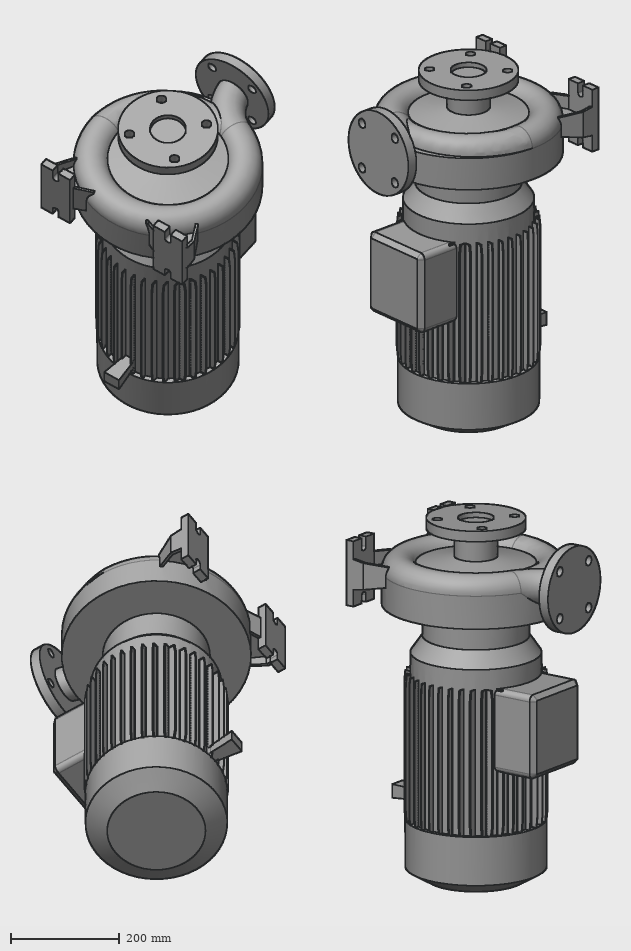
import cadquery as cq
import math

CAP_TAPER_TOP = 23.5
FIN_BOTTOM = 117.0
FIN_TOP = 398.0
ADAPTER_CONE_BOTTOM = 436.5
ADAPTER_CONE_TOP = 468.5
VOLUTE_BOTTOM = 530.0
VOLUTE_MID = 594.0
HUB_TOP = 621.0
TOTAL_HEIGHT = 695.0

CAP_END_RADIUS = 91.0
CAP_RADIUS = 131.5
MOTOR_RADIUS = 121.5
NECK_RADIUS = 99.5

FIN_COUNT = 40
FIN_RADIUS = 133.5
FIN_THICKNESS = 2.0
FIN_ROOT_RADIUS = 115.0
FIN_TIP_BEVEL_LENGTH = 21.0

TUBE_RADIUS = 33.5
VOLUTE_RADIUS = 175.0
TUBE_PATH_RADIUS = VOLUTE_RADIUS - TUBE_RADIUS
TUBE_INNER_RADIUS = TUBE_PATH_RADIUS - TUBE_RADIUS
HUB_RADIUS = 112.0
HUB_RIM = VOLUTE_MID + math.sqrt(TUBE_RADIUS**2 - (TUBE_PATH_RADIUS - HUB_RADIUS) ** 2)
TONGUE_HALF_WIDTH = 23.5
TONGUE_HALF_HEIGHT = 28.0
TAPER_SECTIONS = 6

FLANGE_THICKNESS = 20.0
FLANGE_HOLE_DIAMETER = 18.0
FLANGE_HOLE_COUNT = 4
FLANGE_HOLE_START_ANGLE = 45
SUCTION_FLANGE_RADIUS = 92.5
SUCTION_HOLE_CIRCLE_RADIUS = 72.0
SUCTION_PIPE_RADIUS = 40.0
SUCTION_BORE_RADIUS = 33.5
SUCTION_BORE_DEPTH = 10.0
DISCHARGE_FACE = 225.0
DISCHARGE_FLANGE_RADIUS = 83.0
DISCHARGE_HOLE_CIRCLE_RADIUS = 64.0

OUTLET_ANGLE = 2 * math.degrees(math.atan(TUBE_PATH_RADIUS / DISCHARGE_FACE))
OUTLET_BEND_RADIUS = DISCHARGE_FACE / math.sin(math.radians(OUTLET_ANGLE)) - TUBE_PATH_RADIUS

BOX_WIDTH = 147.0
BOX_BOTTOM = 237.0
BOX_BACK = 186.0
BOX_CORNER_RADIUS = 11.0
BOX_CHAMFER = 10.0

BASE_Y = -180.0
FOOT_INNER_X = 94.5
FOOT_OUTER_X = 160.0
FOOT_BOTTOM = 532.5
FOOT_TOP = 658.0
FOOT_THICKNESS = 16.0
FOOT_FRONT = BASE_Y + FOOT_THICKNESS
SLOT_WIDTH = 13.0
TOP_SLOT_DEPTH = 25.0
BOTTOM_SLOT_DEPTH = 21.0
RIB_THICKNESS = 5.5
RIB_BEND_Y = -141.0
RIB_END_Y = -99.5
OUTER_RIB_END_X = 139.0
INNER_RIB_END = (59.0, -149.5)
RIB_HALF_HEIGHT_AT_FOOT = 29.0
RIB_HALF_HEIGHT_AT_END = 19.5

LUG_WIDTH = 33.5
LUG_HEIGHT = 26.5
LUG_MID_Z = 141.0
LUG_ROOT_WIDTH = 21.0
LUG_ROOT_HEIGHT = 19.5
LUG_EMBED = 3.5


def revolved_body():
    """Motor, adapter, volute drum, conical hub and suction pipe as one turned body."""
    profile = [
        (0, 0),
        (CAP_END_RADIUS, 0),
        (CAP_RADIUS, CAP_TAPER_TOP),
        (CAP_RADIUS, FIN_BOTTOM),
        (MOTOR_RADIUS, FIN_BOTTOM),
        (MOTOR_RADIUS, ADAPTER_CONE_BOTTOM),
        (NECK_RADIUS, ADAPTER_CONE_TOP),
        (NECK_RADIUS, VOLUTE_BOTTOM),
        (VOLUTE_RADIUS, VOLUTE_BOTTOM),
        (VOLUTE_RADIUS, VOLUTE_MID),
        (HUB_RADIUS, VOLUTE_MID),
        (HUB_RADIUS, HUB_RIM),
        (SUCTION_PIPE_RADIUS, HUB_TOP),
        (SUCTION_PIPE_RADIUS, TOTAL_HEIGHT),
        (0, TOTAL_HEIGHT),
    ]
    return cq.Workplane("XZ").polyline(profile).close().revolve(360, (0, 0), (0, 1))


def flange(radius, hole_circle_radius):
    """Drilled flange disc rising from the XY plane."""
    disc = cq.Workplane("XY").circle(radius).extrude(FLANGE_THICKNESS)
    return (
        disc.faces(">Z").workplane()
        .polarArray(hole_circle_radius, FLANGE_HOLE_START_ANGLE, 360, FLANGE_HOLE_COUNT)
        .hole(FLANGE_HOLE_DIAMETER)
    )


def cooling_fins():
    """Thin fins, parallel to X or Y within each quarter of the motor."""
    profile = [
        (FIN_ROOT_RADIUS, FIN_BOTTOM),
        (CAP_RADIUS, FIN_BOTTOM),
        (FIN_RADIUS, FIN_BOTTOM + FIN_TIP_BEVEL_LENGTH),
        (FIN_RADIUS, FIN_TOP - FIN_TIP_BEVEL_LENGTH),
        (CAP_RADIUS, FIN_TOP),
        (FIN_ROOT_RADIUS, FIN_TOP),
    ]
    envelope = cq.Workplane("XZ").polyline(profile).close().revolve(360, (0, 0), (0, 1))
    pitch_angle = 360 / FIN_COUNT
    fins_per_quarter = FIN_COUNT // 4
    plates = cq.Workplane("XY")
    for quarter in range(4):
        for index in range(fins_per_quarter):
            angle = math.radians((index - (fins_per_quarter - 1) / 2) * pitch_angle)
            offset = FIN_RADIUS * math.sin(angle)
            inner = FIN_ROOT_RADIUS * math.cos(angle)
            plate = (
                cq.Workplane("XY", origin=(0, 0, FIN_BOTTOM))
                .center((inner + FIN_RADIUS) / 2, offset)
                .rect(FIN_RADIUS - inner, FIN_THICKNESS)
                .extrude(FIN_TOP - FIN_BOTTOM)
                .rotate((0, 0, 0), (0, 0, 1), 90 * quarter)
            )
            plates = plates.add(plate)
    return plates.combine().intersect(envelope)


def volute_tube():
    """Constant tube from the -X side round to the outlet."""
    return (
        cq.Workplane("XZ")
        .moveTo(TUBE_PATH_RADIUS, VOLUTE_MID)
        .circle(TUBE_RADIUS)
        .revolve(180 + OUTLET_ANGLE, (0, 0), (0, 1))
        .rotate((0, 0, 0), (0, 0, 1), 180)
    )


def volute_tongue():
    """Tube that shrinks from the -X side to the outlet, keeping its inner side at one radius."""
    sections = []
    for step in range(TAPER_SECTIONS):
        fraction = step / (TAPER_SECTIONS - 1)
        turn = math.radians(180 + fraction * (OUTLET_ANGLE - 180))
        half_width = TUBE_RADIUS + fraction * (TONGUE_HALF_WIDTH - TUBE_RADIUS)
        half_height = TUBE_RADIUS + fraction * (TONGUE_HALF_HEIGHT - TUBE_RADIUS)
        path_radius = TUBE_INNER_RADIUS + half_width
        outline = cq.Edge.makeEllipse(
            half_height,
            half_width,
            cq.Vector(path_radius * math.cos(turn), path_radius * math.sin(turn), VOLUTE_MID),
            cq.Vector(math.sin(turn), -math.cos(turn), 0),
            cq.Vector(0, 0, -1),
        )
        sections.append(cq.Wire.assembleEdges([outline]))
    return cq.Workplane(cq.Solid.makeLoft(sections))


def suction_flange():
    """Drilled flange on top of the suction pipe."""
    disc = flange(SUCTION_FLANGE_RADIUS, SUCTION_HOLE_CIRCLE_RADIUS)
    return disc.translate((0, 0, TOTAL_HEIGHT - FLANGE_THICKNESS))


def suction_bore():
    """Shallow round recess in the suction face."""
    floor = TOTAL_HEIGHT - SUCTION_BORE_DEPTH
    return cq.Workplane("XY", origin=(0, 0, floor)).circle(SUCTION_BORE_RADIUS).extrude(SUCTION_BORE_DEPTH)


def discharge_outlet():
    """Bend from the volute tube to the discharge flange."""
    bend = (
        cq.Workplane("XZ", origin=(0, DISCHARGE_FACE, VOLUTE_MID))
        .circle(TUBE_RADIUS)
        .revolve(OUTLET_ANGLE, (OUTLET_BEND_RADIUS, 0), (OUTLET_BEND_RADIUS, 1))
    )
    disc = (
        flange(DISCHARGE_FLANGE_RADIUS, DISCHARGE_HOLE_CIRCLE_RADIUS)
        .rotate((0, 0, 0), (1, 0, 0), -90)
        .translate((0, DISCHARGE_FACE - FLANGE_THICKNESS, VOLUTE_MID))
    )
    return bend.union(disc)


def terminal_box():
    """Box on the +Y side of the motor with rounded sides and a chamfered back."""
    return (
        cq.Workplane("XY", origin=(0, 0, BOX_BOTTOM))
        .center(0, BOX_BACK / 2)
        .rect(BOX_WIDTH, BOX_BACK)
        .extrude(FIN_TOP - BOX_BOTTOM)
        .edges("|Y").fillet(BOX_CORNER_RADIUS)
        .faces(">Y").chamfer(BOX_CHAMFER)
    )


def foot_plate():
    """Slotted mounting plate on the +X side."""
    width = FOOT_OUTER_X - FOOT_INNER_X
    middle = (FOOT_OUTER_X + FOOT_INNER_X) / 2
    height = FOOT_TOP - FOOT_BOTTOM
    plate = cq.Workplane("XY").box(width, FOOT_THICKNESS, height, centered=(True, False, False))
    plate = plate.translate((middle, BASE_Y, FOOT_BOTTOM))
    for edge, depth in ((FOOT_TOP, TOP_SLOT_DEPTH), (FOOT_BOTTOM, BOTTOM_SLOT_DEPTH)):
        slot = (
            cq.Workplane("XZ", origin=(middle, FOOT_FRONT, edge))
            .slot2D(2 * depth, SLOT_WIDTH, 90)
            .extrude(FOOT_THICKNESS)
        )
        plate = plate.cut(slot)
    return plate


def foot_bracket():
    """Two ribs joined by a web at mid height, losing height toward the volute."""
    outer_rib = [
        (FOOT_OUTER_X, FOOT_FRONT),
        (FOOT_OUTER_X, RIB_BEND_Y),
        (OUTER_RIB_END_X, RIB_END_Y),
        (OUTER_RIB_END_X - RIB_THICKNESS, RIB_END_Y),
        (FOOT_OUTER_X - RIB_THICKNESS, RIB_BEND_Y),
        (FOOT_OUTER_X - RIB_THICKNESS, FOOT_FRONT),
    ]
    inner_rib = [
        (FOOT_INNER_X, FOOT_FRONT),
        INNER_RIB_END,
        (INNER_RIB_END[0], INNER_RIB_END[1] - RIB_THICKNESS),
        (FOOT_INNER_X, FOOT_FRONT - RIB_THICKNESS),
    ]
    web = outer_rib[:3] + inner_rib[1::-1]
    height = 2 * RIB_HALF_HEIGHT_AT_FOOT
    ribs = (
        cq.Workplane("XY", origin=(0, 0, VOLUTE_MID - RIB_HALF_HEIGHT_AT_FOOT))
        .polyline(outer_rib).close()
        .polyline(inner_rib).close()
        .extrude(height)
    )
    side_profile = [
        (BASE_Y, VOLUTE_MID - RIB_HALF_HEIGHT_AT_FOOT),
        (FOOT_FRONT, VOLUTE_MID - RIB_HALF_HEIGHT_AT_FOOT),
        (RIB_END_Y, VOLUTE_MID - RIB_HALF_HEIGHT_AT_END),
        (RIB_END_Y, VOLUTE_MID + RIB_HALF_HEIGHT_AT_END),
        (FOOT_FRONT, VOLUTE_MID + RIB_HALF_HEIGHT_AT_FOOT),
        (BASE_Y, VOLUTE_MID + RIB_HALF_HEIGHT_AT_FOOT),
    ]
    envelope = cq.Workplane("YZ").polyline(side_profile).close().extrude(FOOT_OUTER_X)
    web_plate = (
        cq.Workplane("XY", origin=(0, 0, VOLUTE_MID - RIB_THICKNESS / 2))
        .polyline(web).close()
        .extrude(RIB_THICKNESS)
    )
    return ribs.intersect(envelope).union(web_plate)


def support_lug():
    """Flared lug under the motor."""
    return (
        cq.Workplane("XZ", origin=(0, BASE_Y, LUG_MID_Z))
        .rect(LUG_WIDTH, LUG_HEIGHT)
        .workplane(offset=BASE_Y + MOTOR_RADIUS - LUG_EMBED)
        .rect(LUG_ROOT_WIDTH, LUG_ROOT_HEIGHT)
        .loft(combine=True)
    )


right_foot = foot_plate().union(foot_bracket())
left_foot = right_foot.mirror("YZ")

result = revolved_body().union(cooling_fins()).union(terminal_box()).union(support_lug())
result = result.union(volute_tube()).union(volute_tongue()).union(discharge_outlet())
result = result.union(suction_flange()).cut(suction_bore())
result = result.union(right_foot).union(left_foot)